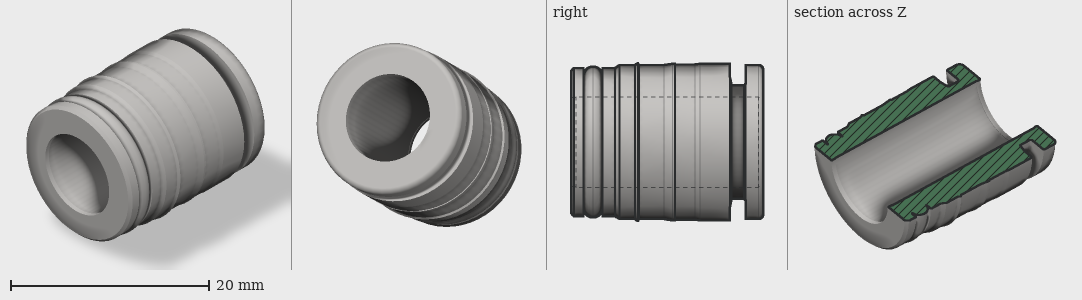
import cadquery as cq

length = 19.4
bore_radius = 4.5
lip_length = 0.5
relief_radius = 4.55

seat_radius = 7.49
front_chamfer = 0.31
seal_groove_front = 1.26
seal_groove_back = 3.16
seal_center_y = (seal_groove_front + seal_groove_back) / 2
seal_section_radius = 0.93
seal_outer_radius = 7.62
seal_center_radius = seal_outer_radius - seal_section_radius
seat_back = 4.45

barrel_radius = 7.78
barrel_front = 4.9
ridge_front = 6.45
ridge_peak = 6.73
ridge_back = 6.85
ridge_radius = 7.97
band_taper_start = 9.37
band_front = 10.25
band_back = 10.45
large_radius = 7.92
waist_radius = 7.84
rear_taper_front = 12.47
rear_taper_back = 13.02
body_back = 16.0

dish_radius = 6.67
dish_depth = 0.2
neck_radius = 5.75
neck_flare = 0.14
collar_front = 17.6
collar_radius = barrel_radius
collar_round = 0.52


def outer_body():
    """Revolve the stepped outside shape as a solid of revolution."""
    round_start = length - collar_round
    round_offset = collar_round * 0.5 ** 0.5
    profile = (
        cq.Workplane("XY")
        .lineTo(seat_radius - front_chamfer, 0)
        .lineTo(seat_radius, front_chamfer)
        .lineTo(seat_radius, seal_groove_front)
        .lineTo(seal_center_radius, seal_groove_front)
        .lineTo(seal_center_radius, seal_groove_back)
        .lineTo(seat_radius, seal_groove_back)
        .lineTo(seat_radius, seat_back)
        .lineTo(barrel_radius, barrel_front)
        .lineTo(barrel_radius, ridge_front)
        .lineTo(ridge_radius, ridge_peak)
        .lineTo(barrel_radius, ridge_back)
        .lineTo(barrel_radius, band_taper_start)
        .lineTo(large_radius, band_front)
        .lineTo(large_radius, band_back)
        .lineTo(waist_radius, band_back)
        .lineTo(waist_radius, rear_taper_front)
        .lineTo(large_radius, rear_taper_back)
        .lineTo(large_radius, body_back)
        .lineTo(dish_radius, body_back)
        .lineTo(neck_radius, body_back + dish_depth)
        .lineTo(neck_radius, collar_front - neck_flare)
        .lineTo(neck_radius + neck_flare, collar_front)
        .lineTo(collar_radius, collar_front)
        .lineTo(collar_radius, round_start)
        .threePointArc(
            (collar_radius - collar_round + round_offset, round_start + round_offset),
            (collar_radius - collar_round, length),
        )
        .lineTo(0, length)
        .close()
    )
    return profile.revolve(360, (0, 0, 0), (0, 1, 0))


def seal_ring():
    """O-ring seated in the front groove."""
    return (
        cq.Workplane("XY")
        .center(seal_center_radius, seal_center_y)
        .circle(seal_section_radius)
        .revolve(360, (-seal_center_radius, 0, 0), (-seal_center_radius, 1, 0))
    )


def bore():
    """Through bore, slightly relieved between a short lip at each end."""
    through = cq.Workplane("XZ").circle(bore_radius).extrude(-length)
    relief = (
        cq.Workplane("XZ", origin=(0, lip_length, 0))
        .circle(relief_radius)
        .extrude(-(length - 2 * lip_length))
    )
    return through.union(relief)


result = outer_body().union(seal_ring()).cut(bore())